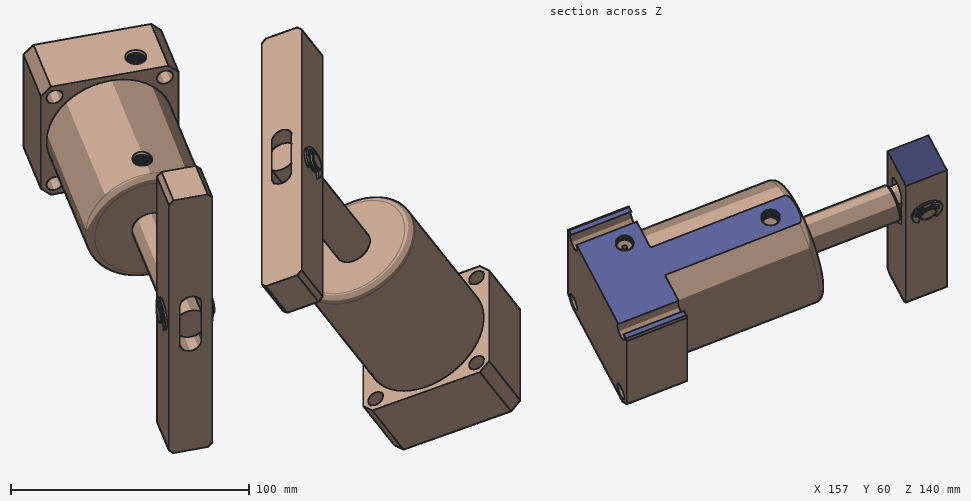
import cadquery as cq
import math

flange_size = 60.0
flange_thickness = 28.0
flange_chamfer = 4.4
barrel_diameter = 55.0
housing_length = 93.0
barrel_round = 3.1
mount_hole_diameter = 7.0
mount_hole_spacing = 48.0

port_mouth_diameter = 9.0
port_thread_diameter = 8.2
port_core_diameter = 7.2
port_chamfer_depth = (port_mouth_diameter - port_thread_diameter) / 2
port_mouth_margin = 1.5
port_ring_pitch = 1.0
port_ring_count = 7
port_depth = port_chamfer_depth + port_ring_count * port_ring_pitch
passage_diameter = 2.0
passage_depth = 4.7
flange_port_x = 18.8
flange_port_y = 13.8
barrel_port_x = 79.9
barrel_passage_offset = 3.5

overall_length = 157.0
bar_width = 19.0
bar_height = 140.0
bar_chamfer = 2.0
slot_height = 30.0
tongue_thickness = 9.4

rod_diameter = 16.0
rod_chamfer = 0.8
rod_body_end_x = 136.6
rod_insertion = 31.4

pin_diameter = 8.0
pin_length = 23.5
pin_offset_y = 0.3
pin_chamfer = 0.5
groove_diameter = 7.0
clip_diameter = 14.0
clip_thickness = 1.0
clip_relief_diameter = 11.0
clip_lobe_half_angle = 21.0
clip_throat_width = 6.6
clip_mouth_width = 8.5

bar_center_x = overall_length - bar_width / 2
bar_front_x = overall_length - bar_width
rod_start_x = housing_length - rod_insertion
clip_start_positions = (-bar_width / 2 - clip_thickness, bar_width / 2)
pin_start_y = pin_offset_y - pin_length / 2
pin_end_y = pin_offset_y + pin_length / 2


def x_cylinder(diameter, start_x, end_x):
    """Cylinder on the X axis between two X positions."""
    return cq.Workplane("YZ", origin=(start_x, 0, 0)).circle(diameter / 2).extrude(end_x - start_x)


def y_cylinder(diameter, start_y, end_y):
    """Cylinder parallel to Y through the pin centre between two Y positions."""
    center = (bar_center_x, end_y, 0)
    return cq.Workplane("XZ", origin=center).circle(diameter / 2).extrude(end_y - start_y)


def make_port(x, y, face_z, passage_x):
    """Port cutter: countersunk flat-bottomed hole with V-shaped thread rings, and a passage below it."""
    mouth_radius = port_mouth_diameter / 2
    thread_radius = port_thread_diameter / 2
    core_radius = port_core_diameter / 2
    profile = [(0, port_mouth_margin), (mouth_radius, port_mouth_margin), (mouth_radius, 0)]
    for ring in range(port_ring_count):
        ring_top = -port_chamfer_depth - ring * port_ring_pitch
        profile.append((thread_radius, ring_top))
        profile.append((core_radius, ring_top - port_ring_pitch / 2))
    profile.append((core_radius, -port_depth))
    profile.append((0, -port_depth))
    port = (
        cq.Workplane("XZ", origin=(x, y, face_z))
        .polyline(profile).close().revolve(360, (0, 0), (0, 1))
    )
    passage = (
        cq.Workplane("XY", origin=(passage_x, y, face_z - port_depth))
        .circle(passage_diameter / 2).extrude(-passage_depth)
    )
    return port.union(passage)


def make_housing():
    flange = (
        cq.Workplane("YZ").rect(flange_size, flange_size).extrude(flange_thickness)
        .edges("|X").chamfer(flange_chamfer)
        .faces("<X").workplane()
        .rect(mount_hole_spacing, mount_hole_spacing, forConstruction=True)
        .vertices().hole(mount_hole_diameter)
    )
    barrel = x_cylinder(barrel_diameter, flange_thickness, housing_length).faces(">X").edges().fillet(barrel_round)
    flange_port = make_port(flange_port_x, flange_port_y, flange_size / 2, flange_port_x)
    barrel_passage_x = barrel_port_x - barrel_passage_offset
    barrel_port = make_port(barrel_port_x, 0, barrel_diameter / 2, barrel_passage_x)
    rod_bore = x_cylinder(rod_diameter, rod_start_x, housing_length)
    return flange.union(barrel).cut(flange_port).cut(barrel_port).cut(rod_bore)


def make_rod():
    body = x_cylinder(rod_diameter, rod_start_x, rod_body_end_x).faces(">X").edges().chamfer(rod_chamfer)
    tongue = x_cylinder(rod_diameter - 2 * rod_chamfer, rod_body_end_x, overall_length)
    tongue_slab = cq.Workplane("XY").box(2 * overall_length, tongue_thickness, rod_diameter)
    tongue = tongue.intersect(tongue_slab)
    return body.union(tongue).cut(y_cylinder(pin_diameter, pin_start_y, pin_end_y))


def make_bar():
    slot = (
        cq.Workplane("YZ", origin=(bar_front_x, 0, 0))
        .slot2D(slot_height, tongue_thickness, 90).extrude(bar_width)
    )
    return (
        cq.Workplane("XY", origin=(bar_center_x, 0, 0)).box(bar_width, bar_width, bar_height)
        .edges("|X").chamfer(bar_chamfer)
        .cut(slot)
        .cut(y_cylinder(pin_diameter, pin_start_y, pin_end_y))
    )


def make_pin():
    pin = y_cylinder(pin_diameter, pin_start_y, pin_end_y).faces("<Y or >Y").edges().chamfer(pin_chamfer)
    for start_y in clip_start_positions:
        end_y = start_y + clip_thickness
        groove = y_cylinder(pin_diameter, start_y, end_y).cut(y_cylinder(groove_diameter, start_y, end_y))
        pin = pin.cut(groove)
    return pin


def polar(radius, angle):
    """Point at a radius and an angle in degrees."""
    return radius * math.cos(math.radians(angle)), radius * math.sin(math.radians(angle))


def make_clip(start_y):
    """E-shaped clip lying against a bar side, open toward -Z."""
    end_y = start_y + clip_thickness
    relief_radius = clip_relief_diameter / 2
    plane = cq.Workplane("XZ", origin=(bar_center_x, end_y, 0))
    clip = y_cylinder(clip_diameter, start_y, end_y).cut(y_cylinder(groove_diameter, start_y, end_y))
    for first, last in ((0, 90 - clip_lobe_half_angle), (90 + clip_lobe_half_angle, 180)):
        relief = (
            plane.lineTo(*polar(relief_radius, first))
            .threePointArc(polar(relief_radius, (first + last) / 2), polar(relief_radius, last))
            .close().extrude(clip_thickness)
        )
        clip = clip.cut(relief)
    mouth_z = -clip_diameter / 2
    mouth = plane.polyline([
        (-clip_throat_width / 2, 0),
        (clip_throat_width / 2, 0),
        (clip_mouth_width / 2, mouth_z),
        (-clip_mouth_width / 2, mouth_z),
    ]).close().extrude(clip_thickness)
    return clip.cut(mouth)


housing = make_housing()
rod = make_rod()
bar = make_bar()
pin = make_pin()
clips = [make_clip(start_y) for start_y in clip_start_positions]

result = cq.Compound.makeCompound(
    [housing.val(), rod.val(), bar.val(), pin.val(), *[clip.val() for clip in clips]]
)